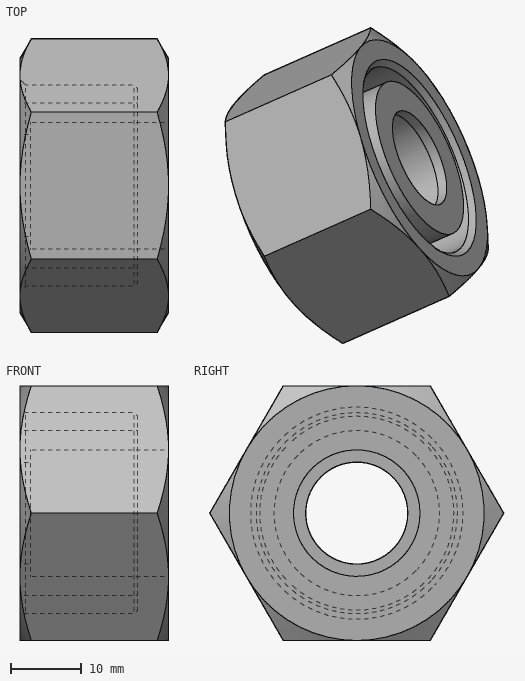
import cadquery as cq
import math

corner_width = 41.55
flat_width = corner_width * math.cos(math.radians(30))
length = 21.0
corner_chamfer_angle = 30.0

lip_radius = 7.2
lip_length = 1.45
bore_radius = 8.95
tube_radius = 11.7
recess_mouth_radius = 15.0
recess_chamfer = 0.8
recess_floor_radius = 13.7
recess_depth = 16.63


def hex_body():
    """Hexagonal prism with corners on the Y axis and both ends chamfered."""
    prism = cq.Workplane("YZ").polygon(6, corner_width).extrude(length)
    corner_radius = corner_width / 2
    face_radius = flat_width / 2
    setback = (corner_radius - face_radius) * math.tan(math.radians(corner_chamfer_angle))
    envelope = (
        cq.Workplane("XY")
        .polyline([
            (0, 0),
            (0, face_radius),
            (setback, corner_radius),
            (length - setback, corner_radius),
            (length, face_radius),
            (length, 0),
        ])
        .close()
        .revolve(360, (0, 0, 0), (1, 0, 0))
    )
    return prism.intersect(envelope)


def annular_recess():
    """Ring-shaped recess with 45 degree cones at its mouth and its floor."""
    recess_wall_radius = recess_mouth_radius - recess_chamfer
    floor_chamfer = recess_wall_radius - recess_floor_radius
    return (
        cq.Workplane("XY")
        .polyline([
            (0, tube_radius),
            (0, recess_mouth_radius),
            (recess_chamfer, recess_wall_radius),
            (recess_depth - floor_chamfer, recess_wall_radius),
            (recess_depth, recess_floor_radius),
            (recess_depth, tube_radius),
        ])
        .close()
        .revolve(360, (0, 0, 0), (1, 0, 0))
    )


def through_bore():
    """Through hole that widens behind a narrow lip at the recessed end."""
    lip_hole = cq.Workplane("YZ").circle(lip_radius).extrude(length)
    wide_bore = (
        cq.Workplane("YZ", origin=(lip_length, 0, 0))
        .circle(bore_radius)
        .extrude(length - lip_length)
    )
    return lip_hole.union(wide_bore)


result = hex_body().cut(annular_recess()).cut(through_bore())